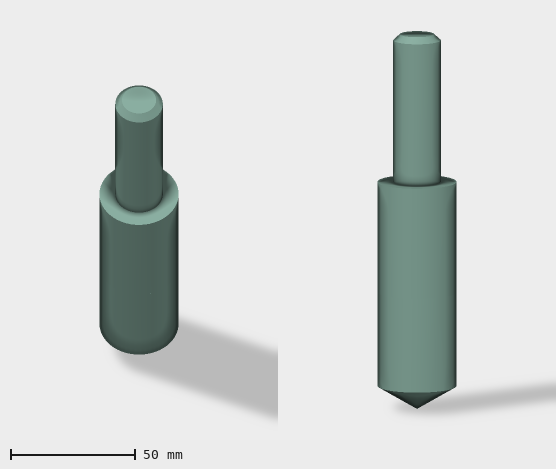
import cadquery as cq

total_length = 152.4
barrel_diameter = 31.7
cone_height = 9.5
tip_length = 47.5
shank_diameter = 19.0
shank_length = 60.0
shank_chamfer_height = 2.5
shank_end_diameter = 13.7

barrel_radius = barrel_diameter / 2
shank_radius = shank_diameter / 2
shank_end_radius = shank_end_diameter / 2
shoulder_z = total_length - shank_length
chamfer_z = total_length - shank_chamfer_height


def revolve_profile(points):
    """Revolve a closed (radius, z) profile a full turn about the Z axis."""
    profile = cq.Workplane("XZ").polyline(points).close()
    return profile.revolve(360, (0, 0, 0), (0, 1, 0))


def make_tip():
    """Cylindrical lower body ending in a cone point."""
    return revolve_profile([
        (0, 0),
        (barrel_radius, cone_height),
        (barrel_radius, tip_length),
        (0, tip_length),
    ])


def make_holder():
    """Upper barrel with a narrower shank, chamfered at its free end."""
    return revolve_profile([
        (0, tip_length),
        (barrel_radius, tip_length),
        (barrel_radius, shoulder_z),
        (shank_radius, shoulder_z),
        (shank_radius, chamfer_z),
        (shank_end_radius, total_length),
        (0, total_length),
    ])


tip = make_tip()
holder = make_holder()

result = cq.Compound.makeCompound([tip.val(), holder.val()])